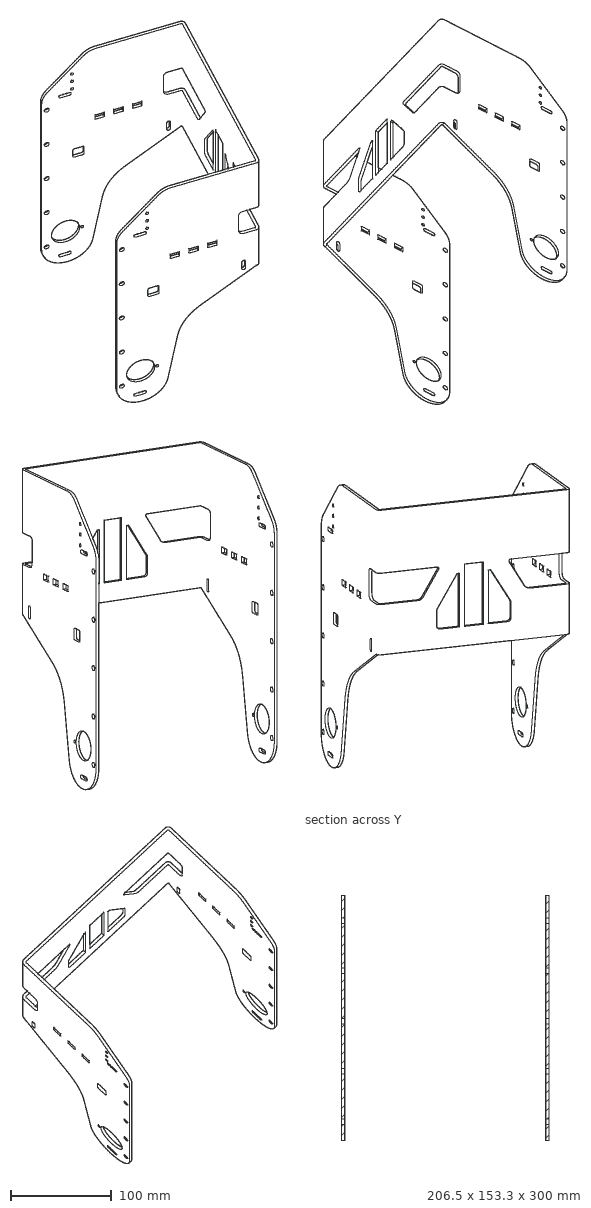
import cadquery as cq
import math

WIDTH = 206.5
DEPTH = 153.3
HEIGHT = 300.0
SHEET = 3.3
BEND_INNER_RADIUS = 1.0
BEND_OUTER_RADIUS = BEND_INNER_RADIUS + SHEET
FRONT_Y = -DEPTH

REAR_PLATE_BOTTOM_Z = 150.0
TOP_CHAMFER = 50.0
TOP_CORNER_RADIUS = 19.8
LOWER_EDGE_ANGLE = math.radians(30)
LEG_ANGLE = math.radians(10)
LEG_BLEND_RADIUS = 50.0
FOOT_RADIUS = 27.5

WINDOW_TOP_Z = 234.5
WINDOW_BOTTOM_Z = 202.2
WINDOW_SIDE_DEPTH = 23.0
WINDOW_TOP_HALF_GAP = 36.3
WINDOW_BOTTOM_HALF_GAP = 56.0
NOTCH_UPPER_RADIUS = 4.0
NOTCH_LOWER_RADIUS = 6.0
WEB_UPPER_RADIUS = 1.5
WEB_LOWER_RADIUS = 6.5

OPENING_BOTTOM_Z = 170.0
CENTRE_OPENING_WIDTH = 19.8
FLANK_INNER_X = 15.5
FLANK_TOP_X = 18.0
FLANK_OUTER_X = 39.5
FLANK_TOP_Z = 225.5
FLANK_SHOULDER_Z = 190.8
FLANK_RADIUS = 3.5

EDGE_HOLE_DIAMETER = 5.0
EDGE_HOLE_COUNT = 5
EDGE_HOLE_INSET = 5.5
EDGE_HOLE_FIRST_Z = 30.3
EDGE_HOLE_LAST_Z = 230.0

PIN_HOLE_DIAMETER = 3.0
PIN_COLUMN_Y = -121.0
PIN_COLUMN_Z = (250.5, 261.5, 272.5)

PIVOT_DIAMETER = 30.0
PIVOT_Y = -127.8
PIVOT_Z = 45.0
PIVOT_PIN_OFFSET = 17.7

SLOT_LENGTH = 13.2
SLOT_WIDTH = 4.0
FRONT_SLOT_Y = -128.5
UPPER_SLOT_Z = 244.5
FOOT_SLOT_Z = 12.0
REAR_SLOT_Y = -17.7
REAR_SLOT_Z = 156.0

TAB_HOLE_LENGTH = 10.0
TAB_HOLE_HEIGHT = 6.0
TAB_HOLE_COUNT = 3
TAB_HOLE_PITCH = 20.0
TAB_ROW_CENTRE_Y = -71.0
TAB_ROW_Z = 199.5

SQUARE_HOLE_SIZE = 12.0
SQUARE_HOLE_RADIUS = 1.8
SQUARE_HOLE_Y = -114.0
SQUARE_HOLE_Z = 156.0


def side_sketch():
    """Workplane in Y and Z, on the left outer face of the part."""
    return cq.Workplane("YZ", origin=(-WIDTH / 2, 0, 0))


def through_sides(sketch):
    """Extrude a side sketch through both side plates."""
    return sketch.extrude(WIDTH)


def bent_channel():
    """U-shaped sheet, open toward -Y, at full height."""

    def block(width, rear_y, radius):
        solid = cq.Workplane("XY").box(width, DEPTH, HEIGHT, centered=(True, False, False))
        return solid.translate((0, rear_y - DEPTH, 0)).edges("|Z and >Y").fillet(radius)

    outer = block(WIDTH, 0, BEND_OUTER_RADIUS)
    return outer.cut(block(WIDTH - 2 * SHEET, -SHEET, BEND_INNER_RADIUS))


def side_outline():
    """Side plate silhouette: chamfered top front corner and a leg with a round foot."""
    foot_y = FRONT_Y + FOOT_RADIUS
    foot_z = FOOT_RADIUS
    leg_start_y = foot_y + FOOT_RADIUS * math.cos(LEG_ANGLE)
    leg_start_z = foot_z - FOOT_RADIUS * math.sin(LEG_ANGLE)
    slope_start_y = -BEND_OUTER_RADIUS
    leg_slope = math.tan(LEG_ANGLE)
    drop_slope = math.tan(LOWER_EDGE_ANGLE)
    height_gap = REAR_PLATE_BOTTOM_Z + drop_slope * (leg_start_y - slope_start_y) - leg_start_z
    rise = height_gap / (1 - drop_slope * leg_slope)
    knee = (leg_start_y + rise * leg_slope, leg_start_z + rise)

    outline = through_sides(
        side_sketch()
        .moveTo(0, HEIGHT)
        .lineTo(FRONT_Y + TOP_CHAMFER, HEIGHT)
        .lineTo(FRONT_Y, HEIGHT - TOP_CHAMFER)
        .lineTo(FRONT_Y, foot_z)
        .threePointArc((foot_y, 0), (leg_start_y, leg_start_z))
        .lineTo(*knee)
        .lineTo(slope_start_y, REAR_PLATE_BOTTOM_Z)
        .lineTo(0, REAR_PLATE_BOTTOM_Z)
        .close()
    )

    def edge_at(y, z):
        return cq.selectors.NearestToPointSelector((0, y, z))

    outline = outline.edges("|X").edges(edge_at(*knee)).fillet(LEG_BLEND_RADIUS)
    for y, z in ((FRONT_Y + TOP_CHAMFER, HEIGHT), (FRONT_Y, HEIGHT - TOP_CHAMFER)):
        outline = outline.edges("|X").edges(edge_at(y, z)).fillet(TOP_CORNER_RADIUS)
    return outline


def side_windows():
    """Notches in both side plates that run around the bends into the rear plate."""
    height = WINDOW_TOP_Z - WINDOW_BOTTOM_Z
    middle_z = (WINDOW_TOP_Z + WINDOW_BOTTOM_Z) / 2
    notch_length = 2 * WINDOW_SIDE_DEPTH
    notch = through_sides(side_sketch().center(0, middle_z).rect(notch_length, height))
    notch = notch.faces("<Y").edges(">Z").fillet(NOTCH_UPPER_RADIUS)
    notch = notch.faces("<Y").edges("<Z").fillet(NOTCH_LOWER_RADIUS)
    rear_end = (
        cq.Workplane("XZ")
        .polyline([
            (WINDOW_BOTTOM_HALF_GAP, WINDOW_BOTTOM_Z),
            (WINDOW_TOP_HALF_GAP, WINDOW_TOP_Z),
            (WIDTH / 2, WINDOW_TOP_Z),
            (WIDTH / 2, WINDOW_BOTTOM_Z),
        ])
        .close()
        .extrude(BEND_OUTER_RADIUS)
    )
    rear_end = rear_end.edges("|Y and <X").fillet(WEB_UPPER_RADIUS)
    web_foot = cq.selectors.NearestToPointSelector((WINDOW_BOTTOM_HALF_GAP, 0, WINDOW_BOTTOM_Z))
    rear_end = rear_end.edges("|Y").edges(web_foot).fillet(WEB_LOWER_RADIUS)
    between_sides = cq.Workplane("XY").box(WIDTH - 2 * SHEET, 2 * DEPTH, 2 * HEIGHT)
    return notch.cut(between_sides).union(rear_end).union(rear_end.mirror("YZ"))


def rear_openings():
    """Rectangular centre opening flanked by two mirrored, sloped openings."""
    centre = (
        cq.Workplane("XZ")
        .center(0, (WINDOW_TOP_Z + OPENING_BOTTOM_Z) / 2)
        .rect(CENTRE_OPENING_WIDTH, WINDOW_TOP_Z - OPENING_BOTTOM_Z)
        .extrude(SHEET)
    )
    flank = (
        cq.Workplane("XZ")
        .polyline([
            (FLANK_INNER_X, OPENING_BOTTOM_Z),
            (FLANK_OUTER_X, OPENING_BOTTOM_Z),
            (FLANK_OUTER_X, FLANK_SHOULDER_Z),
            (FLANK_TOP_X, FLANK_TOP_Z),
            (FLANK_INNER_X, FLANK_TOP_Z),
        ])
        .close()
        .extrude(SHEET)
        .edges("|Y and >X")
        .fillet(FLANK_RADIUS)
    )
    return centre.union(flank).union(flank.mirror("YZ"))


def round_holes():
    """Edge holes, pin holes and the pivot bore in both side plates."""
    edge_pitch = (EDGE_HOLE_LAST_Z - EDGE_HOLE_FIRST_Z) / (EDGE_HOLE_COUNT - 1)
    edge_points = [
        (FRONT_Y + EDGE_HOLE_INSET, EDGE_HOLE_FIRST_Z + i * edge_pitch)
        for i in range(EDGE_HOLE_COUNT)
    ]
    pin_points = [(PIN_COLUMN_Y, z) for z in PIN_COLUMN_Z]
    pin_points.append((PIVOT_Y + PIVOT_PIN_OFFSET, PIVOT_Z))
    holes = through_sides(side_sketch().pushPoints(edge_points).circle(EDGE_HOLE_DIAMETER / 2))
    pins = through_sides(side_sketch().pushPoints(pin_points).circle(PIN_HOLE_DIAMETER / 2))
    pivot = through_sides(side_sketch().center(PIVOT_Y, PIVOT_Z).circle(PIVOT_DIAMETER / 2))
    return holes.union(pins).union(pivot)


def slots():
    """Two horizontal slots near the front edge and one vertical slot near the bend."""
    front_points = [(FRONT_SLOT_Y, UPPER_SLOT_Z), (FRONT_SLOT_Y, FOOT_SLOT_Z)]
    front = through_sides(side_sketch().pushPoints(front_points).slot2D(SLOT_LENGTH, SLOT_WIDTH))
    rear = through_sides(
        side_sketch().center(REAR_SLOT_Y, REAR_SLOT_Z).slot2D(SLOT_LENGTH, SLOT_WIDTH, 90)
    )
    return front.union(rear)


def rectangular_holes():
    """Row of tab holes and a square hole with rounded corners in both side plates."""
    tabs = through_sides(
        side_sketch()
        .center(TAB_ROW_CENTRE_Y, TAB_ROW_Z)
        .rarray(TAB_HOLE_PITCH, 3, TAB_HOLE_COUNT, 1)
        .rect(TAB_HOLE_LENGTH, TAB_HOLE_HEIGHT)
    )
    square = through_sides(
        side_sketch().center(SQUARE_HOLE_Y, SQUARE_HOLE_Z).rect(SQUARE_HOLE_SIZE, SQUARE_HOLE_SIZE)
    )
    return tabs.union(square.edges("|X").fillet(SQUARE_HOLE_RADIUS))


result = bent_channel().intersect(side_outline())
for cutter in (side_windows(), rear_openings(), round_holes(), slots(), rectangular_holes()):
    result = result.cut(cutter)